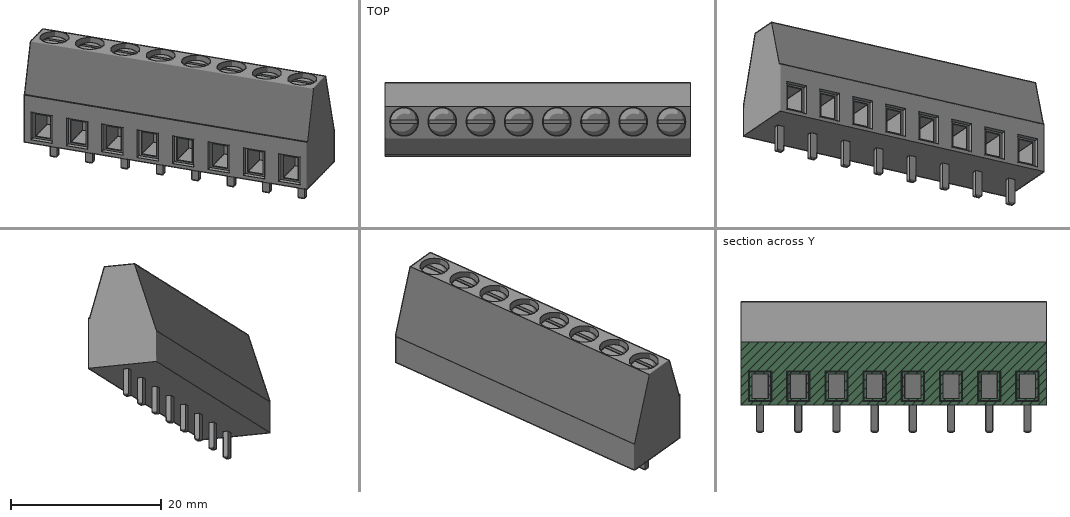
import cadquery as cq

pole_count = 8
housing_length = 40.65
pole_pitch = housing_length / pole_count
housing_height = 13.78
total_height = 17.4

front_y = -4.6
back_y = 5.2
top_front_y = -2.28
top_back_y = 2.05
front_shoulder_z = housing_height / 2
front_shoulder_width = 0.2
back_shoulder_z = 4.23
edge_radius = 0.1

mouth_width = 3.05
mouth_height = 4.02
entry_center_z = 2.5
frame_recess = 0.5
frame_gap = 0.1
frame_gap_depth = 0.4
chamber_width = 2.1
chamber_height = 3.2
chamber_end_y = 0.0
chamber_rim_chamfer = 0.06

screw_diameter = 3.7
well_diameter = 3.8
screw_recess = 0.4
screw_flat_diameter = 1.95
screw_edge_radius = (screw_diameter - screw_flat_diameter) / 2
screw_slot_width = 0.5
screw_slot_depth = 0.5

pin_width = 0.98
pin_thickness = 0.75
pin_length = total_height - housing_height
pin_tip_radius = 0.33


def make_housing():
    """Trapezoid-topped block; its upright corners and the ends and front of its top are rounded."""
    profile = [
        (front_y, 0),
        (back_y, 0),
        (back_y, back_shoulder_z),
        (top_back_y, housing_height),
        (top_front_y, housing_height),
        (front_y + front_shoulder_width, front_shoulder_z),
        (front_y, front_shoulder_z),
    ]
    block = cq.Workplane("YZ").polyline(profile).close().extrude(housing_length)
    corners = block.edges("|Z")
    top_ends = block.faces(">Z").edges("|Y")
    top_front = block.edges("|X").edges(">Z").edges("<Y")
    return block.newObject(corners.vals() + top_ends.vals() + top_front.vals()).fillet(edge_radius)


def make_block_behind(x, start_y, width, height, depth):
    """Block centred on a wire entry, running from start_y toward the back."""
    face = cq.Workplane("XZ", origin=(x, start_y, entry_center_z))
    return face.rect(width, height).extrude(-depth)


def make_wire_entry(x):
    """Space to remove: the mouth, the gap around the clamp frame and the chamber through it."""
    frame_y = front_y + frame_recess
    mouth = make_block_behind(x, front_y, mouth_width, mouth_height, frame_recess + frame_gap_depth)
    frame = make_block_behind(
        x, frame_y, mouth_width - 2 * frame_gap, mouth_height - 2 * frame_gap, frame_gap_depth
    )
    chamber = make_block_behind(x, frame_y, chamber_width, chamber_height, chamber_end_y - frame_y)
    rim = (
        cq.Workplane("XZ", origin=(x, frame_y, entry_center_z))
        .rect(chamber_width + 2 * chamber_rim_chamfer, chamber_height + 2 * chamber_rim_chamfer)
        .workplane(offset=-chamber_rim_chamfer)
        .rect(chamber_width, chamber_height)
        .loft(ruled=True)
    )
    return mouth.cut(frame).union(chamber).union(rim)


def make_screw_recess(x):
    """Space above the screw: a round well whose floor is the rounded, slotted screw head."""
    head_top_z = housing_height - screw_recess
    well_floor_z = head_top_z - screw_edge_radius
    head_base_z = well_floor_z - screw_edge_radius
    well = (
        cq.Workplane("XY", origin=(x, 0, well_floor_z))
        .circle(well_diameter / 2)
        .extrude(housing_height - well_floor_z)
    )
    head = (
        cq.Workplane("XY", origin=(x, 0, head_base_z))
        .circle(screw_diameter / 2)
        .extrude(head_top_z - head_base_z)
        .faces(">Z")
        .edges()
        .fillet(screw_edge_radius)
    )
    slot = (
        cq.Workplane("XY", origin=(x, 0, head_top_z - screw_slot_depth))
        .rect(well_diameter, screw_slot_width)
        .extrude(screw_slot_depth)
        .intersect(well)
    )
    return well.cut(head).union(slot)


def make_pin(x):
    """Flat solder pin with a rounded tip, hanging below the housing."""
    return (
        cq.Workplane("XY", origin=(x, 0, 0))
        .rect(pin_width, pin_thickness)
        .extrude(-pin_length)
        .faces("<Z")
        .edges()
        .fillet(pin_tip_radius)
    )


result = make_housing()
for pole in range(pole_count):
    pole_x = pole_pitch / 2 + pole * pole_pitch
    result = result.cut(make_wire_entry(pole_x))
    result = result.cut(make_screw_recess(pole_x))
    result = result.union(make_pin(pole_x))